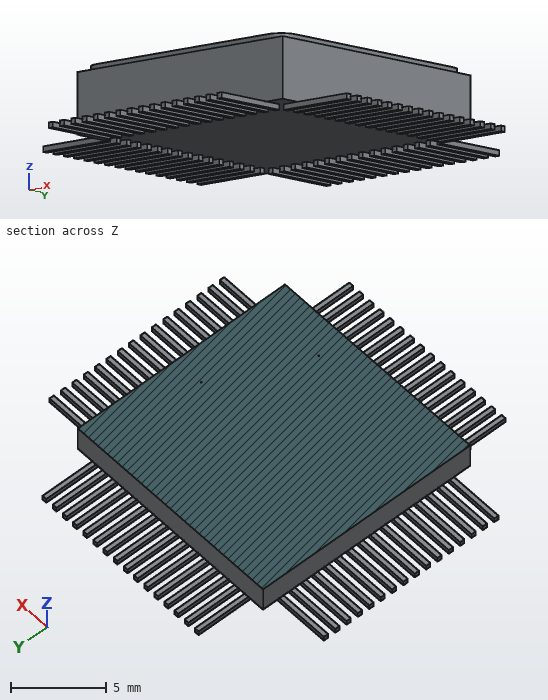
import cadquery as cq

span = 21.6
total_height = 3.95

body_side = 14.6
lid_side = 14.2
lid_thickness = 0.3
lid_corner_radius = 1.0

leads_per_side = 16
side_count = 4
lead_pitch = 0.8
lead_width = 0.3
lead_thickness = 0.3
lead_length = 4.5

key_width = 0.15
key_reach = 0.93

body_height = total_height - lid_thickness - lead_thickness
lead_outer = span / 2
lead_inner = lead_outer - lead_length
first_lead_x = -lead_pitch * (leads_per_side - 1) / 2


def make_body():
    return (
        cq.Workplane("XY")
        .workplane(offset=lead_thickness)
        .rect(body_side, body_side)
        .extrude(body_height)
    )


def make_lid():
    return (
        cq.Workplane("XY")
        .workplane(offset=lead_thickness + body_height)
        .rect(lid_side, lid_side)
        .extrude(lid_thickness)
        .edges("|Z")
        .fillet(lid_corner_radius)
    )


def make_lead_row():
    """One row of leads, pointing toward -Y."""
    centers = [
        (first_lead_x + i * lead_pitch, -(lead_inner + lead_outer) / 2)
        for i in range(leads_per_side)
    ]
    return (
        cq.Workplane("XY")
        .pushPoints(centers)
        .rect(lead_width, lead_length)
        .extrude(lead_thickness)
    )


def make_key():
    """Step on the -X edge of the first lead of the -Y row."""
    key_right = first_lead_x - lead_width / 2
    key_outer = body_side / 2 + key_reach
    return cq.Workplane("XY").box(
        key_width, key_outer - lead_inner, lead_thickness, centered=False
    ).translate((key_right - key_width, -key_outer, 0))


result = make_body().union(make_lid())
lead_row = make_lead_row()
for side in range(side_count):
    result = result.union(lead_row.rotate((0, 0, 0), (0, 0, 1), side * 360 / side_count))
result = result.union(make_key())